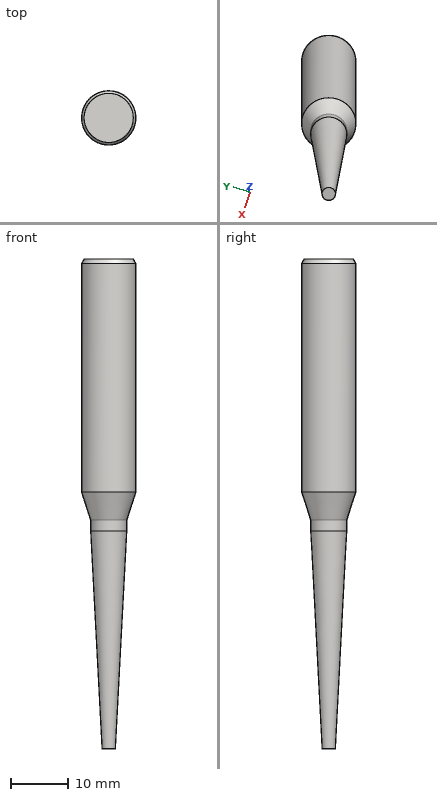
import cadquery as cq
import math

inch = 25.4

overall_length = 3.375 * inch

shank_radius = 0.375 * inch / 2
end_chamfer_height = 0.8
end_chamfer_angle = math.radians(30)
end_chamfer_width = end_chamfer_height * math.tan(end_chamfer_angle)

neck_radius = 0.25 * inch / 2
cutting_length = 1.5 * inch
taper_half_angle = math.radians(3)
tip_radius = neck_radius - cutting_length * math.tan(taper_half_angle)

neck_length = 1.93
shoulder_half_angle = math.radians(18)
shoulder_height = (shank_radius - neck_radius) / math.tan(shoulder_half_angle)
neck_top = cutting_length + neck_length
shank_bottom = neck_top + shoulder_height


def make_shank():
    """Solid of revolution: chamfered shank, conical shoulder and short neck."""
    return (
        cq.Workplane("XZ")
        .moveTo(0, cutting_length)
        .lineTo(neck_radius, cutting_length)
        .lineTo(neck_radius, neck_top)
        .lineTo(shank_radius, shank_bottom)
        .lineTo(shank_radius, overall_length - end_chamfer_height)
        .lineTo(shank_radius - end_chamfer_width, overall_length)
        .lineTo(0, overall_length)
        .close()
        .revolve(360, (0, 0, 0), (0, 1, 0))
    )


def make_cutter():
    """Tapered cutting part that carries on from the end of the neck."""
    return (
        cq.Workplane("XZ")
        .lineTo(tip_radius, 0)
        .lineTo(neck_radius, cutting_length)
        .lineTo(0, cutting_length)
        .close()
        .revolve(360, (0, 0, 0), (0, 1, 0))
    )


shank = make_shank()
cutter = make_cutter()

result = cq.Compound.makeCompound([shank.val(), cutter.val()])